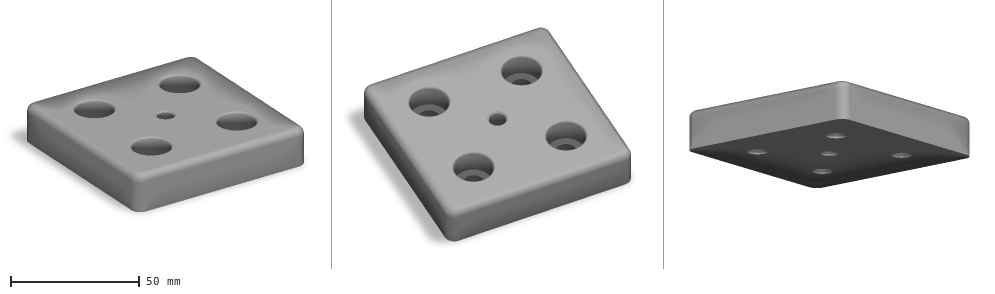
import cadquery as cq
import math

side = 80
thickness = 16
corner_radius = 4
top_edge_radius = 3.0

bolt_spacing = side / 2
draft_angle = 2
bolt_hole_bottom_diameter = 8
bore_floor_diameter = 15.0
bore_depth = 9.0
bore_rim_radius = 1.0

center_hole_diameter = 6.8
center_chamfer = 0.6


def rounded_plate():
    """Square plate standing on Z = 0, with round corners and a rounded top edge."""
    block = cq.Workplane("XY").box(side, side, thickness, centered=(True, True, False))
    return block.edges("|Z").fillet(corner_radius).faces(">Z").edges().fillet(top_edge_radius)


def revolved_cutter(half_profile):
    """Solid of revolution about Z from (radius, height) points, closed along the axis."""
    return cq.Workplane("XZ").polyline(half_profile).close().revolve(360, (0, 0, 0), (0, 1, 0))


def bolt_hole_cutter():
    """Through hole with a counterbore, both drafted."""
    slope = math.tan(math.radians(draft_angle))
    floor = thickness - bore_depth
    hole_radius = bolt_hole_bottom_diameter / 2
    bore_radius = bore_floor_diameter / 2
    return revolved_cutter([
        (0, 0),
        (hole_radius, 0),
        (hole_radius + slope * floor, floor),
        (bore_radius, floor),
        (bore_radius + slope * bore_depth, thickness),
        (0, thickness),
    ])


def center_hole_cutter():
    """Through hole with a chamfered top rim."""
    hole_radius = center_hole_diameter / 2
    return revolved_cutter([
        (0, 0),
        (hole_radius, 0),
        (hole_radius, thickness - center_chamfer),
        (hole_radius + center_chamfer, thickness),
        (0, thickness),
    ])


result = rounded_plate()
for x in (-bolt_spacing / 2, bolt_spacing / 2):
    for y in (-bolt_spacing / 2, bolt_spacing / 2):
        result = result.cut(bolt_hole_cutter().translate((x, y, 0)))

bore_rims = result.faces(">Z").edges(cq.selectors.RadiusNthSelector(-1))
result = bore_rims.fillet(bore_rim_radius)

result = result.cut(center_hole_cutter())